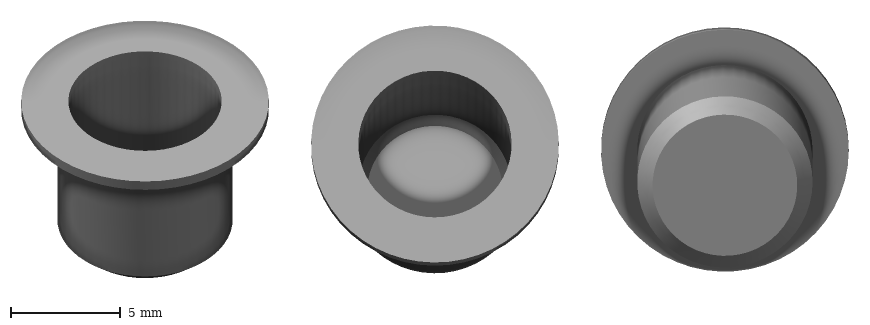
import cadquery as cq
import math

flange_diameter = 11.3
body_diameter = 8.0
bore_diameter = 7.0
height = 7.8
wall = (body_diameter - bore_diameter) / 2
outer_chamfer = 0.7

inner_chamfer = outer_chamfer - wall * (2 - math.sqrt(2))


def chamfered_cylinder(diameter, base_z, chamfer):
    """Cylinder from base_z to the rim, with its lower edge chamfered."""
    return (
        cq.Workplane("XY", origin=(0, 0, base_z))
        .circle(diameter / 2)
        .extrude(height - base_z)
        .faces("<Z")
        .chamfer(chamfer)
    )


body = chamfered_cylinder(body_diameter, 0, outer_chamfer)
cavity = chamfered_cylinder(bore_diameter, wall, inner_chamfer)
flange = (
    cq.Workplane("XY", origin=(0, 0, height - wall))
    .circle(flange_diameter / 2)
    .extrude(wall)
)

result = body.union(flange).cut(cavity)